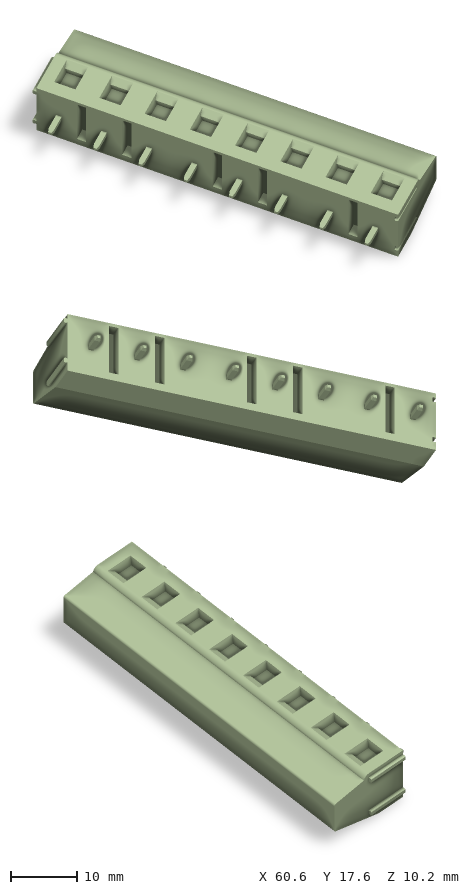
import cadquery as cq

POLES = 8
BODY_LENGTH = 60.0
PITCH = BODY_LENGTH / POLES

BODY_DEPTH = 14.2
BODY_HEIGHT = 10.2
TOP_DEPTH = 7.1
STEP_RADIUS = 1.1
STEP_DROP = 0.85
STEP_RUN = 0.95
BOTTOM_DEPTH = 4.95
REAR_TOP = 8.35
REAR_BOTTOM = 2.5
REAR_RADIUS = 0.35

POCKET_WIDTH = 3.5
POCKET_FRONT = 2.2
POCKET_REAR = 6.9
POCKET_DEPTH = 1.6
POCKET_SIDE_LEAN = 0.5
POCKET_FRONT_LEAN = 0.25
RAMP_FOOT_Y = 5.7
RAMP_DROP = 0.65

SLOT_BOUNDARIES = (1, 2, 4, 5, 7)
SLOT_WIDTH = 1.5
SLOT_BOTTOM = 1.3
SLOT_TOP = 9.65
SLOT_DEPTH = 2.0

PIN_WIDTH = 0.9
PIN_HEIGHT = 0.8
PIN_Z = 4.95
PIN_LENGTH = 3.4
PIN_TIP = 0.65
PIN_TIP_SCALE = 0.6

RAIL_LEVELS = (1.8, 8.95)
RAIL_LENGTH = TOP_DEPTH
RAIL_REACH = 0.6
RAIL_FLANK = 0.35
RAIL_HEAD_HEIGHT = 0.9
RAIL_FACE_HEIGHT = 0.65
RAIL_NECK_HEIGHT = 0.65


def make_body():
    return (
        cq.Workplane("YZ")
        .moveTo(0, 0)
        .lineTo(BOTTOM_DEPTH, 0)
        .lineTo(BODY_DEPTH, REAR_BOTTOM)
        .lineTo(BODY_DEPTH, REAR_TOP)
        .lineTo(TOP_DEPTH + STEP_RUN, BODY_HEIGHT - STEP_DROP)
        .radiusArc((TOP_DEPTH, BODY_HEIGHT), -STEP_RADIUS)
        .lineTo(0, BODY_HEIGHT)
        .close()
        .extrude(BODY_LENGTH)
        .edges("|X and >Y")
        .fillet(REAR_RADIUS)
    )


def make_pocket(x):
    """Tapered pocket with a ramp leading in from the rear, centred on x."""
    floor_z = BODY_HEIGHT - POCKET_DEPTH
    side_profile = (
        cq.Workplane("YZ", origin=(x, 0, 0))
        .polyline([
            (POCKET_FRONT, BODY_HEIGHT),
            (POCKET_REAR, BODY_HEIGHT),
            (RAMP_FOOT_Y, BODY_HEIGHT - RAMP_DROP),
            (RAMP_FOOT_Y, floor_z),
            (POCKET_FRONT + POCKET_FRONT_LEAN, floor_z),
        ])
        .close()
        .extrude(POCKET_WIDTH / 2, both=True)
    )
    half_top = POCKET_WIDTH / 2
    half_floor = half_top - POCKET_SIDE_LEAN
    width_profile = (
        cq.Workplane("XZ")
        .polyline([
            (x - half_top, BODY_HEIGHT),
            (x + half_top, BODY_HEIGHT),
            (x + half_floor, floor_z),
            (x - half_floor, floor_z),
        ])
        .close()
        .extrude(-BODY_DEPTH)
    )
    return side_profile.intersect(width_profile)


def make_slot(x):
    return cq.Workplane("XY").box(
        SLOT_WIDTH, SLOT_DEPTH, SLOT_TOP - SLOT_BOTTOM, centered=(True, False, False)
    ).translate((x, 0, SLOT_BOTTOM))


def make_pin(x):
    """Rectangular pin with a tapered tip, pointing towards -Y."""
    shank_length = PIN_LENGTH - PIN_TIP
    return (
        cq.Workplane("XZ", origin=(x, 0, PIN_Z))
        .rect(PIN_WIDTH, PIN_HEIGHT)
        .extrude(shank_length)
        .faces("<Y")
        .workplane()
        .rect(PIN_WIDTH, PIN_HEIGHT)
        .workplane(offset=PIN_TIP)
        .rect(PIN_WIDTH * PIN_TIP_SCALE, PIN_HEIGHT * PIN_TIP_SCALE)
        .loft()
    )


def make_rail(x, z):
    """Dovetail rail along Y whose neck starts at x and whose head faces -X."""
    half_neck = RAIL_NECK_HEIGHT / 2
    half_head = RAIL_HEAD_HEIGHT / 2
    half_face = RAIL_FACE_HEIGHT / 2
    return (
        cq.Workplane("XZ")
        .polyline([
            (x, z - half_neck),
            (x, z + half_neck),
            (x - RAIL_FLANK, z + half_head),
            (x - RAIL_REACH, z + half_face),
            (x - RAIL_REACH, z - half_face),
            (x - RAIL_FLANK, z - half_head),
        ])
        .close()
        .extrude(-RAIL_LENGTH)
    )


result = make_body()

for pole in range(POLES):
    pole_x = (pole + 0.5) * PITCH
    result = result.cut(make_pocket(pole_x)).union(make_pin(pole_x))

for boundary in SLOT_BOUNDARIES:
    result = result.cut(make_slot(boundary * PITCH))

for level in RAIL_LEVELS:
    result = result.union(make_rail(0, level)).cut(make_rail(BODY_LENGTH, level))